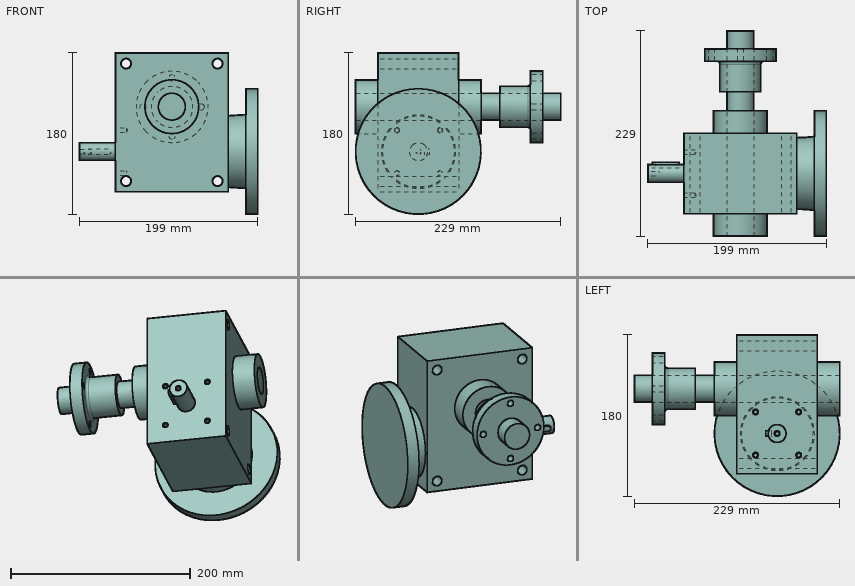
import cadquery as cq
import math


HOUSING_LENGTH = 126.0
HOUSING_WIDTH = 90.0
HOUSING_HEIGHT = 155.0
WORM_AXIS_HEIGHT = 45.0
AXIS_DISTANCE = 50.0
HOUSING_BOTTOM = -WORM_AXIS_HEIGHT
HOUSING_TOP = HOUSING_BOTTOM + HOUSING_HEIGHT
HOUSING_FRONT = -HOUSING_WIDTH / 2
HOUSING_LEFT = -HOUSING_LENGTH / 2
HOUSING_RIGHT = HOUSING_LENGTH / 2

BOSS_DIAMETER = 60.0
BOSS_LENGTH = 25.0
BOSS_FRONT = HOUSING_FRONT - BOSS_LENGTH
BOSS_SPAN = HOUSING_WIDTH + 2 * BOSS_LENGTH

MOUNTING_HOLE_DIAMETER = 11.0
MOUNTING_HOLE_MARGIN = 12.0

TAPPED_HOLE_DIAMETER = 4.92
COUNTERSINK_DIAMETER = 6.0
TAPPED_HOLE_DEPTH = 12.0
TAPPED_HOLE_CIRCLE = 68.0
DRILL_POINT_ANGLE = 118.0

FLANGE_DIAMETER = 140.0
FLANGE_THICKNESS = 13.5
NECK_LENGTH = 19.5
NECK_DIAMETER = 80.0
NECK_WIDE_DIAMETER = 82.5

SHAFT_DIAMETER = 20.0
SHAFT_LENGTH = 40.0
SHAFT_END = HOUSING_LEFT - SHAFT_LENGTH

KEY_LENGTH = 30.0
KEY_WIDTH = 6.0
KEY_HEIGHT = 6.0
KEY_END_DISTANCE = 5.0
KEYWAY_DEPTH = 3.5
KEYWAY_FLOOR = SHAFT_DIAMETER / 2 - KEYWAY_DEPTH

SCREW_DIAMETER = 30.0
SCREW_LENGTH = 229.0
SCREW_BACK = BOSS_FRONT + SCREW_LENGTH

NUT_LENGTH = 48.0
NUT_BARREL_DIAMETER = 46.0
NUT_FLANGE_DIAMETER = 80.0
NUT_FLANGE_THICKNESS = 14.0
NUT_FILLET_RADIUS = 3.0
NUT_HOLE_DIAMETER = 7.0
NUT_HOLE_CIRCLE = 65.0
NUT_HOLE_COUNT = 4
SCREW_OVERHANG = 20.0
NUT_BACK = SCREW_BACK - SCREW_OVERHANG


def cylinder_along_y(diameter, length, start_y, x=0.0, z=0.0):
    """Cylinder running toward +Y from start_y."""
    axis = cq.Vector(0, 1, 0)
    return cq.Workplane(cq.Solid.makeCylinder(diameter / 2, length, cq.Vector(x, start_y, z), axis))


def cylinder_along_x(diameter, length, start_x, y=0.0, z=0.0):
    """Cylinder running toward +X from start_x."""
    axis = cq.Vector(1, 0, 0)
    return cq.Workplane(cq.Solid.makeCylinder(diameter / 2, length, cq.Vector(start_x, y, z), axis))


def tapped_hole(start_x, y=0.0, z=0.0):
    """Blind countersunk hole running toward +X, ending in a drill point."""
    radius = TAPPED_HOLE_DIAMETER / 2
    mouth_radius = COUNTERSINK_DIAMETER / 2
    countersink_depth = mouth_radius - radius
    point_length = radius / math.tan(math.radians(DRILL_POINT_ANGLE / 2))
    profile = (
        cq.Workplane("XY")
        .moveTo(0, 0)
        .lineTo(0, mouth_radius)
        .lineTo(countersink_depth, radius)
        .lineTo(TAPPED_HOLE_DEPTH, radius)
        .lineTo(TAPPED_HOLE_DEPTH + point_length, 0)
        .close()
    )
    return profile.revolve(360, (0, 0, 0), (1, 0, 0)).translate((start_x, y, z))


def make_motor_flange():
    """Round flange on a neck that widens away from the housing."""
    flange_start = HOUSING_RIGHT + NECK_LENGTH
    neck_start = cq.Vector(HOUSING_RIGHT, 0, 0)
    axis = cq.Vector(1, 0, 0)
    cone = cq.Solid.makeCone(NECK_DIAMETER / 2, NECK_WIDE_DIAMETER / 2, NECK_LENGTH, neck_start, axis)
    neck = cq.Workplane(cone)
    return neck.union(cylinder_along_x(FLANGE_DIAMETER, FLANGE_THICKNESS, flange_start))


def make_housing():
    """Block with screw bosses, motor flange, mounting holes and tapped holes."""
    body = cq.Workplane("XY").box(HOUSING_LENGTH, HOUSING_WIDTH, HOUSING_HEIGHT)
    body = body.translate((0, 0, HOUSING_BOTTOM + HOUSING_HEIGHT / 2))
    body = body.union(cylinder_along_y(BOSS_DIAMETER, BOSS_SPAN, BOSS_FRONT, z=AXIS_DISTANCE))
    body = body.union(make_motor_flange())
    body = body.cut(cylinder_along_y(SCREW_DIAMETER, BOSS_SPAN, BOSS_FRONT, z=AXIS_DISTANCE))

    for x in (HOUSING_LEFT + MOUNTING_HOLE_MARGIN, HOUSING_RIGHT - MOUNTING_HOLE_MARGIN):
        for z in (HOUSING_BOTTOM + MOUNTING_HOLE_MARGIN, HOUSING_TOP - MOUNTING_HOLE_MARGIN):
            body = body.cut(cylinder_along_y(MOUNTING_HOLE_DIAMETER, HOUSING_WIDTH, HOUSING_FRONT, x, z))

    offset = TAPPED_HOLE_CIRCLE / 2 / math.sqrt(2)
    for y in (-offset, offset):
        for z in (-offset, offset):
            body = body.cut(tapped_hole(HOUSING_LEFT, y, z))
    return body


def make_key():
    """Parallel key with round ends, seated in the +Y side of the worm shaft."""
    center_x = SHAFT_END + KEY_END_DISTANCE + KEY_LENGTH / 2
    key = cq.Workplane("XZ").slot2D(KEY_LENGTH, KEY_WIDTH).extrude(-KEY_HEIGHT)
    return key.translate((center_x, KEYWAY_FLOOR, 0))


def make_worm_shaft(key):
    """Shaft end standing on the housing, with a keyway and a tapped center hole."""
    shaft = cylinder_along_x(SHAFT_DIAMETER, SHAFT_LENGTH, SHAFT_END)
    return shaft.cut(tapped_hole(SHAFT_END)).cut(key)


def make_screw():
    """Plain lifting screw, flush with the front boss."""
    return cylinder_along_y(SCREW_DIAMETER, SCREW_LENGTH, BOSS_FRONT, z=AXIS_DISTANCE)


def make_nut():
    """Flanged nut with a fillet between barrel and flange."""
    flange_face = NUT_BACK - NUT_FLANGE_THICKNESS
    barrel_start = NUT_BACK - NUT_LENGTH
    barrel_radius = NUT_BARREL_DIAMETER / 2
    fillet_middle = NUT_FILLET_RADIUS * (1 - math.sqrt(0.5))
    profile = (
        cq.Workplane("XY")
        .moveTo(SCREW_DIAMETER / 2, barrel_start)
        .lineTo(barrel_radius, barrel_start)
        .lineTo(barrel_radius, flange_face - NUT_FILLET_RADIUS)
        .threePointArc(
            (barrel_radius + fillet_middle, flange_face - fillet_middle),
            (barrel_radius + NUT_FILLET_RADIUS, flange_face),
        )
        .lineTo(NUT_FLANGE_DIAMETER / 2, flange_face)
        .lineTo(NUT_FLANGE_DIAMETER / 2, NUT_BACK)
        .lineTo(SCREW_DIAMETER / 2, NUT_BACK)
        .close()
    )
    nut = profile.revolve(360, (0, 0, 0), (0, 1, 0)).translate((0, 0, AXIS_DISTANCE))
    for index in range(NUT_HOLE_COUNT):
        angle = 2 * math.pi * index / NUT_HOLE_COUNT
        x = NUT_HOLE_CIRCLE / 2 * math.cos(angle)
        z = AXIS_DISTANCE + NUT_HOLE_CIRCLE / 2 * math.sin(angle)
        nut = nut.cut(cylinder_along_y(NUT_HOLE_DIAMETER, NUT_FLANGE_THICKNESS, flange_face, x, z))
    return nut


housing = make_housing()
key = make_key()
worm_shaft = make_worm_shaft(key)
screw = make_screw()
nut = make_nut()

result = cq.Compound.makeCompound([housing.val(), worm_shaft.val(), key.val(), screw.val(), nut.val()])